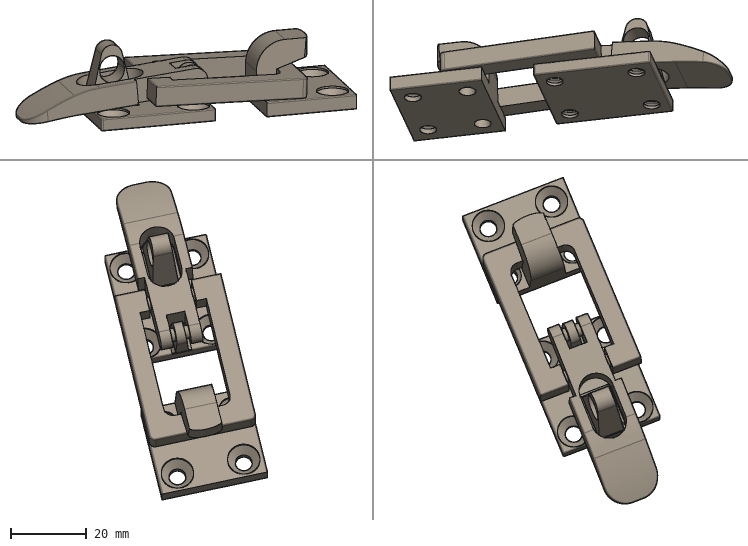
import cadquery as cq
import math


LATCH_LENGTH = 89.0
LATCH_WIDTH = 28.7
EDGE_ROUND = 0.3

HOLE_RADIUS = 2.2
SINK_RADIUS = 4.3
SMALL_SINK_RADIUS = 3.2
SINK_LIP = 0.5
HOLE_X = 9.0

HOOK_PLATE_LENGTH = 24.75
HOOK_PLATE_THICK = 4.0
HOOK_PLATE_FRONT = LATCH_LENGTH - HOOK_PLATE_LENGTH
HOOK_HOLE_INSET = 5.0

HOOK_TOP = 17.9
HOOK_RADIUS = 8.0
HOOK_TIP_Y = 79.1
HOOK_TIP_BOTTOM = 13.0
HOOK_THROAT_Y = 69.8
HOOK_THROAT_TOP = 10.1
HOOK_HALF_TOP = 4.4
HOOK_HALF_BASE = 5.2
HOOK_TIP_HALF = 4.6
HOOK_TIP_ROUND = 1.5

BASE_WIDTH = 27.6
BASE_FRONT = 18.7
BASE_BACK = 50.3
BASE_THICK = 3.4
BASE_CORNER = 0.45
BASE_HOLE_INSET = 4.7
FOOT_CHAMFER = 0.9
FOOT_SLOPE = 45.0

HINGE_Y = 47.3
HINGE_Z = 9.2
HINGE_PIN_RADIUS = 1.8
LUG_RADIUS = BASE_BACK - HINGE_Y
LUG_FRONT = 43.3
LUG_HALF_TOP = 1.25
LUG_HALF_BASE = 1.8

STAPLE_Y = 24.9
STAPLE_HALF_LENGTH = STAPLE_Y - BASE_FRONT
STAPLE_TOP = 20.0
STAPLE_RADIUS = 2.9
STAPLE_HALF_TOP = 2.5
STAPLE_HALF_BASE = 3.6
STAPLE_FOOT_FRONT = 21.0
STAPLE_HOLE_RADIUS = 3.4
STAPLE_HOLE_TOP_Z = 13.7
STAPLE_HOLE_BOTTOM_Z = 13.2

LEVER_TILT = 5.0
LEVER_HALF_THICK = 3.3
TONGUE_HALF_WIDTH = 5.6
HANDLE_HALF_WIDTH = 7.4
SHOULDER = 16.7
TOP_BEND = 27.0
TOP_CURVE_CHANGE = (-34.1, 2.3)
TIP_TOP = -3.3
TIP_BOTTOM = -4.2
BOTTOM_BEND = 34.4
BOTTOM_CURVE_MIDDLE = (-42.0, -3.65)
HANDLE_CORNER = 5.9
LEVER_EDGE_ROUND = 0.2
FORK_HALF_GAP = 2.5
FORK_DEPTH = 4.45
STAPLE_SLOT_RADIUS = 4.6
STAPLE_SLOT_CENTERS = (17.45, 26.3)

TILT_SINE = math.sin(math.radians(LEVER_TILT))
TILT_COSINE = math.cos(math.radians(LEVER_TILT))
TIP_Y = ((TIP_TOP - LEVER_EDGE_ROUND) * TILT_SINE - HINGE_Y) / TILT_COSINE

TRUNNION_DISTANCE = 10.5
TRUNNION_RADIUS = 1.8
TRUNNION_HALF_SPAN = 9.0
LOOP_TILT = -1.9
LOOP_THICK = 5.5
LOOP_REACH = 38.9
LOOP_BAR = 5.6
LOOP_OPENING_HALF = 9.0
LOOP_OPENING_CORNER = 2.6
LOOP_CORNER = 1.4
EAR_FRONT = -3.2
EAR_BACK = 2.9
EAR_HALF_GAP = 6.3


def box(x_half, y_min, y_max, z_min, z_max):
    """Box centred on X = 0."""
    return (
        cq.Workplane("XY")
        .box(2 * x_half, y_max - y_min, z_max - z_min, centered=(True, False, False))
        .translate((0, y_min, z_min))
    )


def cross_cylinder(radius, y, z, x_half):
    """Cylinder along X, centred on X = 0."""
    return cq.Workplane("YZ").center(y, z).circle(radius).extrude(x_half, both=True)


def drafted(profile, half_base, z_base, half_top, z_top):
    """Extrude a YZ profile along X, with side faces that lean in from base to top."""
    body = profile.extrude(LATCH_WIDTH, both=True)
    cross_section = (
        cq.Workplane("XZ")
        .polyline([(-half_base, z_base), (half_base, z_base), (half_top, z_top), (-half_top, z_top)])
        .close()
        .extrude(-LATCH_LENGTH)
    )
    return body.intersect(cross_section)


def rounded_taper(y, z, radius, y_front, y_back, z_base):
    """YZ profile with a straight base and a round top tangent to both side lines."""
    drop = z - z_base

    def tangent_point(reach, side):
        lean = math.acos(radius / math.hypot(reach, drop)) - math.atan2(drop, reach)
        return (y + side * radius * math.cos(lean), z + radius * math.sin(lean))

    return (
        cq.Workplane("YZ")
        .moveTo(y_front, z_base)
        .lineTo(*tangent_point(y - y_front, -1))
        .threePointArc((y, z + radius), tangent_point(y_back - y, 1))
        .lineTo(y_back, z_base)
        .close()
    )


def foot(half_width, y_front, y_back):
    """Chamfered foot on top of the base plate, kept within the plate's length."""
    length = y_back - y_front + 2 * FOOT_CHAMFER
    block = (
        cq.Workplane("XY", origin=(0, (y_front + y_back) / 2, BASE_THICK))
        .rect(2 * (half_width + FOOT_CHAMFER), length)
        .extrude(FOOT_CHAMFER, taper=FOOT_SLOPE)
    )
    return block.intersect(box(BASE_WIDTH, BASE_FRONT, BASE_BACK, 0, STAPLE_TOP))


def screw_hole(x, y, plate_top, sink_radius):
    """Through hole with a 90 degree countersink below a straight lip."""
    lip_bottom = plate_top - SINK_LIP
    cone_bottom = lip_bottom - (sink_radius - HOLE_RADIUS)
    return (
        cq.Workplane("XZ")
        .polyline([
            (0, 0),
            (HOLE_RADIUS, 0),
            (HOLE_RADIUS, cone_bottom),
            (sink_radius, lip_bottom),
            (sink_radius, plate_top),
            (0, plate_top),
        ])
        .close()
        .revolve(360, (0, 0, 0), (0, 1, 0))
        .translate((x, y, 0))
    )


def make_hook():
    profile = (
        cq.Workplane("YZ")
        .moveTo(HOOK_PLATE_FRONT, HOOK_PLATE_THICK)
        .lineTo(HOOK_PLATE_FRONT, HOOK_TOP - HOOK_RADIUS)
        .radiusArc((HOOK_PLATE_FRONT + HOOK_RADIUS, HOOK_TOP), HOOK_RADIUS)
        .lineTo(HOOK_TIP_Y, HOOK_TOP)
        .lineTo(HOOK_TIP_Y, HOOK_TIP_BOTTOM)
        .lineTo(HOOK_THROAT_Y, HOOK_THROAT_TOP)
        .lineTo(HOOK_THROAT_Y, HOOK_PLATE_THICK)
        .close()
    )
    hook = drafted(profile, HOOK_HALF_BASE, HOOK_PLATE_THICK, HOOK_HALF_TOP, HOOK_TOP)
    round_start = HOOK_TIP_Y - HOOK_TIP_ROUND
    round_end = (
        cq.Workplane("XY")
        .center(0, round_start)
        .ellipse(HOOK_TIP_HALF, HOOK_TIP_ROUND)
        .extrude(HOOK_TOP)
    )
    outline = box(HOOK_HALF_BASE, HOOK_PLATE_FRONT, round_start, 0, HOOK_TOP).union(round_end)
    return hook.intersect(outline)


def make_hook_plate():
    plate = box(LATCH_WIDTH / 2, HOOK_PLATE_FRONT, LATCH_LENGTH, 0, HOOK_PLATE_THICK)
    plate = plate.edges("|Y").fillet(EDGE_ROUND)
    plate = plate.union(make_hook())
    outer_y = LATCH_LENGTH - HOOK_HOLE_INSET
    inner_y = HOOK_PLATE_FRONT + HOOK_HOLE_INSET
    for x in (-HOLE_X, HOLE_X):
        plate = plate.cut(screw_hole(x, outer_y, HOOK_PLATE_THICK, SINK_RADIUS))
        plate = plate.cut(screw_hole(x, inner_y, HOOK_PLATE_THICK, SMALL_SINK_RADIUS))
    return plate


def make_hinge_lug():
    profile = rounded_taper(HINGE_Y, HINGE_Z, LUG_RADIUS, LUG_FRONT, BASE_BACK, BASE_THICK)
    lug = drafted(profile, LUG_HALF_BASE, BASE_THICK, LUG_HALF_TOP, HINGE_Z + LUG_RADIUS)
    lug = lug.union(foot(LUG_HALF_BASE, LUG_FRONT, BASE_BACK))
    return lug.cut(cross_cylinder(HINGE_PIN_RADIUS, HINGE_Y, HINGE_Z, FORK_HALF_GAP))


def make_staple():
    y_back = STAPLE_Y + STAPLE_HALF_LENGTH
    profile = rounded_taper(
        STAPLE_Y, STAPLE_TOP - STAPLE_RADIUS, STAPLE_RADIUS, BASE_FRONT, y_back, BASE_THICK
    )
    staple = drafted(profile, STAPLE_HALF_BASE, BASE_THICK, STAPLE_HALF_TOP, STAPLE_TOP)
    staple = staple.union(foot(STAPLE_HALF_BASE, STAPLE_FOOT_FRONT, y_back))
    hole_height = STAPLE_HOLE_TOP_Z - STAPLE_HOLE_BOTTOM_Z + 2 * STAPLE_HOLE_RADIUS
    hole = (
        cq.Workplane("YZ")
        .center(STAPLE_Y, (STAPLE_HOLE_TOP_Z + STAPLE_HOLE_BOTTOM_Z) / 2)
        .slot2D(hole_height, 2 * STAPLE_HOLE_RADIUS, 90)
        .extrude(STAPLE_HALF_BASE, both=True)
    )
    return staple.cut(hole)


def make_base():
    base = box(BASE_WIDTH / 2, BASE_FRONT, BASE_BACK, 0, BASE_THICK)
    base = base.edges("|Z").fillet(BASE_CORNER)
    base = base.faces("<Z or >Z").edges().fillet(EDGE_ROUND)
    base = base.union(make_hinge_lug()).union(make_staple())
    for x in (-HOLE_X, HOLE_X):
        for y in (BASE_FRONT + BASE_HOLE_INSET, BASE_BACK - BASE_HOLE_INSET):
            base = base.cut(screw_hole(x, y, BASE_THICK, SINK_RADIUS))
    return base


def lever_outline():
    """Tongue with a round nose at the hinge, level until it bends down into the handle."""
    half = LEVER_HALF_THICK
    return (
        cq.Workplane("YZ")
        .moveTo(0, half)
        .lineTo(-TOP_BEND, half)
        .tangentArcPoint(TOP_CURVE_CHANGE, relative=False)
        .tangentArcPoint((TIP_Y, TIP_TOP), relative=False)
        .lineTo(TIP_Y, TIP_BOTTOM)
        .threePointArc(BOTTOM_CURVE_MIDDLE, (-BOTTOM_BEND, -half))
        .lineTo(0, -half)
        .threePointArc((half, 0), (0, half))
        .close()
    )


def make_lever():
    reach = 2 * LEVER_HALF_THICK
    tongue_plan = box(TONGUE_HALF_WIDTH, -SHOULDER, reach, -reach, reach)
    handle_plan = box(HANDLE_HALF_WIDTH, TIP_Y, -SHOULDER, -reach, reach)
    handle_plan = handle_plan.edges("|Z and <Y").fillet(HANDLE_CORNER)
    lever = lever_outline().extrude(LATCH_WIDTH, both=True)
    lever = lever.intersect(tongue_plan.union(handle_plan))
    lever = lever.faces("<X or >X").edges("not |Z").fillet(LEVER_EDGE_ROUND)

    lever = lever.cut(box(FORK_HALF_GAP, -FORK_DEPTH, reach, -reach, reach))
    lever = lever.union(cross_cylinder(HINGE_PIN_RADIUS, 0, 0, TONGUE_HALF_WIDTH))

    slot_near, slot_far = STAPLE_SLOT_CENTERS
    slot = (
        cq.Workplane("XY")
        .center(0, -(slot_near + slot_far) / 2)
        .slot2D(slot_far - slot_near + 2 * STAPLE_SLOT_RADIUS, 2 * STAPLE_SLOT_RADIUS, 90)
        .extrude(reach, both=True)
    )
    lever = lever.cut(slot)

    trunnions = cross_cylinder(TRUNNION_RADIUS, -TRUNNION_DISTANCE, 0, TRUNNION_HALF_SPAN)
    lever = lever.union(trunnions)
    return lever.rotate((0, 0, 0), (1, 0, 0), LEVER_TILT).translate((0, HINGE_Y, HINGE_Z))


def make_loop():
    """Open rectangular loop, built level about its trunnion axis and then tilted."""
    half = LOOP_THICK / 2
    loop = box(LATCH_WIDTH / 2, EAR_FRONT, LOOP_REACH, -half, half)
    loop = loop.edges("|Z and >Y").fillet(LOOP_CORNER)
    loop = loop.faces("<Z or >Z").edges().fillet(EDGE_ROUND)
    opening = box(LOOP_OPENING_HALF, EAR_BACK, LOOP_REACH - LOOP_BAR, -half, half)
    opening = opening.edges("|Z and >Y").fillet(LOOP_OPENING_CORNER)
    loop = loop.cut(opening)
    loop = loop.cut(box(EAR_HALF_GAP, EAR_FRONT, EAR_BACK, -half, half))
    loop = loop.cut(cross_cylinder(TRUNNION_RADIUS, 0, 0, TRUNNION_HALF_SPAN))

    axis_y = HINGE_Y - TRUNNION_DISTANCE * TILT_COSINE
    axis_z = HINGE_Z - TRUNNION_DISTANCE * TILT_SINE
    return loop.rotate((0, 0, 0), (1, 0, 0), LOOP_TILT).translate((0, axis_y, axis_z))


hook_plate = make_hook_plate()
base = make_base()
lever = make_lever()
loop = make_loop()

result = cq.Compound.makeCompound([hook_plate.val(), base.val(), lever.val(), loop.val()])